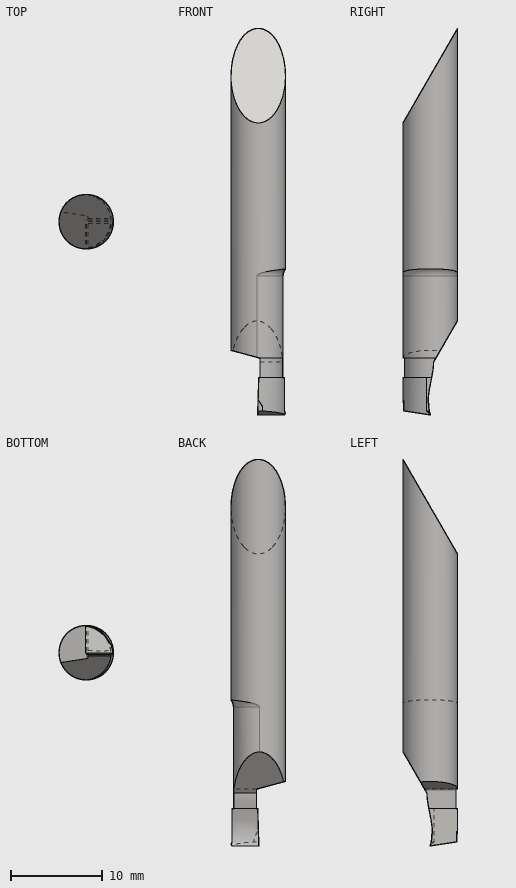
import cadquery as cq
import math

LENGTH = 42.45
RADIUS = 2.995
BEVEL_SLOPE = math.tan(math.radians(60))
END_SLOPE = math.tan(math.radians(15))
MARGIN = 2.12

SHANK_BOTTOM = 6.3
RELIEF_TOP = 15.28
RELIEF_SHIFT = 0.25
RUNOUT_RADIUS = 1.27
LOWER_BEVEL_TOP = 10.35

TIP_TOP = 4.1
NECK_SIDE = 0.15
NECK_FILLET = 0.13
END_CORNER = NECK_SIDE - NECK_FILLET
NECK_SHIFT = 0.3
NECK_SET_BACK = 0.13

BEVEL_END_Z = 5.8
BEVEL_END_Y = RADIUS - (LOWER_BEVEL_TOP - BEVEL_END_Z) / BEVEL_SLOPE
RAKE_JOIN_Y = 0.15
RAKE_LOW_Y = -0.2
RAKE_LOW_Z = 1.9
EDGE_Y = 0.05
HEEL_Z = 0.45

TIP_SIDE = 0.05
EDGE_SIDE = -0.1
FLANK_X = 1.85
FLANK_Y = -2.05
HEEL_SIDE = 0.45
HEEL_DEPTH = 0.13
RELIEF_DEPTH = 0.1
CLEARANCE_TOP = 1.6
CLEARANCE_FULL = 0.95
TIP_OUTER = 2.9
NOSE_Z = 0.2
NOSE_RISE = 0.2


def cylinder(x, y, bottom, top):
    """Upright cylinder of the shank radius about the axis at (x, y)."""
    return cq.Workplane("XY").center(x, y).circle(RADIUS).extrude(top - bottom).translate((0, 0, bottom))


def prism_along_x(outline):
    """Close a YZ outline and extend it across the whole width of the tool."""
    return outline.close().extrude(RADIUS + MARGIN, both=True)


def round_shank():
    """Cylinder with a bevelled top, a bevelled +Y side and a sloping lower end."""
    half_width = RADIUS + MARGIN
    side_outline = prism_along_x(
        cq.Workplane("YZ")
        .moveTo(-RADIUS, SHANK_BOTTOM)
        .lineTo(RADIUS - (LOWER_BEVEL_TOP - SHANK_BOTTOM) / BEVEL_SLOPE, SHANK_BOTTOM)
        .lineTo(RADIUS, LOWER_BEVEL_TOP)
        .lineTo(RADIUS, LENGTH)
        .lineTo(-RADIUS, LENGTH - 2 * RADIUS * BEVEL_SLOPE)
    )
    end_cut = (
        cq.Workplane("XZ")
        .moveTo(END_CORNER, SHANK_BOTTOM)
        .lineTo(-half_width, SHANK_BOTTOM + (END_CORNER + half_width) * END_SLOPE)
        .lineTo(-half_width, SHANK_BOTTOM)
        .close()
        .extrude(half_width, both=True)
    )
    return cylinder(0, 0, SHANK_BOTTOM, LENGTH).intersect(side_outline).cut(end_cut)


def side_relief():
    """Ring around the offset relief axis, ending in a concave runout."""
    half_turn = math.sqrt(0.5)
    return (
        cq.Workplane("XZ")
        .moveTo(RADIUS, SHANK_BOTTOM)
        .lineTo(RADIUS, RELIEF_TOP)
        .threePointArc(
            (RADIUS + RUNOUT_RADIUS * (1 - half_turn), RELIEF_TOP + RUNOUT_RADIUS * half_turn),
            (RADIUS + RUNOUT_RADIUS, RELIEF_TOP + RUNOUT_RADIUS),
        )
        .lineTo(RADIUS + RUNOUT_RADIUS, SHANK_BOTTOM)
        .close()
        .revolve(360, (0, 0, 0), (0, 1, 0))
        .translate((-RELIEF_SHIFT, 0, 0))
    )


def rake_outline():
    """Side outline shared by the neck and the tip, with its curved rake face."""
    return prism_along_x(
        cq.Workplane("YZ")
        .moveTo(-RADIUS, SHANK_BOTTOM)
        .lineTo(RADIUS - (LOWER_BEVEL_TOP - SHANK_BOTTOM) / BEVEL_SLOPE, SHANK_BOTTOM)
        .lineTo(BEVEL_END_Y, BEVEL_END_Z)
        .spline([(RAKE_JOIN_Y, TIP_TOP), (RAKE_LOW_Y, RAKE_LOW_Z), (EDGE_Y, 0)], includeCurrent=True)
        .lineTo(-RADIUS, HEEL_Z)
    )


def neck():
    """Slim neck with a flat -X side that flares into the shank, set back from the shank."""
    arc_inset = NECK_FILLET * (1 - math.sqrt(0.5))
    flat_side = (
        cq.Workplane("XZ")
        .moveTo(NECK_SIDE, TIP_TOP)
        .lineTo(NECK_SIDE, SHANK_BOTTOM - NECK_FILLET)
        .threePointArc((NECK_SIDE - arc_inset, SHANK_BOTTOM - arc_inset), (END_CORNER, SHANK_BOTTOM))
        .lineTo(RADIUS, SHANK_BOTTOM)
        .lineTo(RADIUS, TIP_TOP)
        .close()
        .extrude(RADIUS + MARGIN, both=True)
    )
    blank = cylinder(-NECK_SHIFT, NECK_SET_BACK, TIP_TOP, SHANK_BOTTOM)
    return blank.intersect(flat_side).intersect(rake_outline())


def tip_front_outline():
    """Front outline of the tip, flaring out to a nose on each side of the cutting edge."""
    return (
        cq.Workplane("XZ")
        .moveTo(TIP_SIDE, TIP_TOP)
        .lineTo(EDGE_SIDE, 0)
        .lineTo(TIP_OUTER, 0)
        .lineTo(RADIUS, NOSE_Z)
        .lineTo(TIP_OUTER, NOSE_Z + NOSE_RISE)
        .lineTo(TIP_OUTER, TIP_TOP)
        .close()
        .extrude(RADIUS + MARGIN, both=True)
    )


def tip_plan():
    """Plan of the tip, with its curved outer flank falling back from the nose."""
    return (
        cq.Workplane("XY")
        .moveTo(-MARGIN, RAKE_JOIN_Y)
        .lineTo(-MARGIN, -RADIUS)
        .lineTo(TIP_SIDE, -RADIUS)
        .threePointArc((FLANK_X, FLANK_Y), (RADIUS, EDGE_Y))
        .lineTo(RADIUS, RAKE_JOIN_Y)
        .close()
        .extrude(TIP_TOP)
    )


def corner_relief():
    """Shallow facet on the lower -X, -Y corner of the tip."""
    wedge = (
        cq.Workplane("XY")
        .moveTo(EDGE_SIDE, -RADIUS + RELIEF_DEPTH)
        .lineTo(HEEL_SIDE, -RADIUS + HEEL_DEPTH)
        .lineTo(HEEL_SIDE, -RADIUS - MARGIN)
        .lineTo(EDGE_SIDE, -RADIUS - MARGIN)
        .close()
        .extrude(TIP_TOP)
    )
    limits = (
        cq.Workplane("XZ")
        .moveTo(EDGE_SIDE, 0)
        .lineTo(EDGE_SIDE, CLEARANCE_TOP)
        .lineTo(TIP_SIDE, CLEARANCE_TOP)
        .lineTo(HEEL_SIDE, CLEARANCE_FULL)
        .lineTo(HEEL_SIDE, 0)
        .close()
        .extrude(RADIUS + MARGIN, both=True)
    )
    return wedge.intersect(limits)


def make_tip():
    """Cutting tip, a separate body under the neck."""
    blank = tip_front_outline().intersect(tip_plan()).intersect(rake_outline())
    return blank.intersect(cylinder(0, 0, 0, TIP_TOP)).cut(corner_relief())


def make_shank():
    """Shank and neck as one body."""
    return round_shank().cut(side_relief()).union(neck())


shank = make_shank()
tip = make_tip()
result = cq.Compound.makeCompound([*shank.vals(), *tip.vals()])